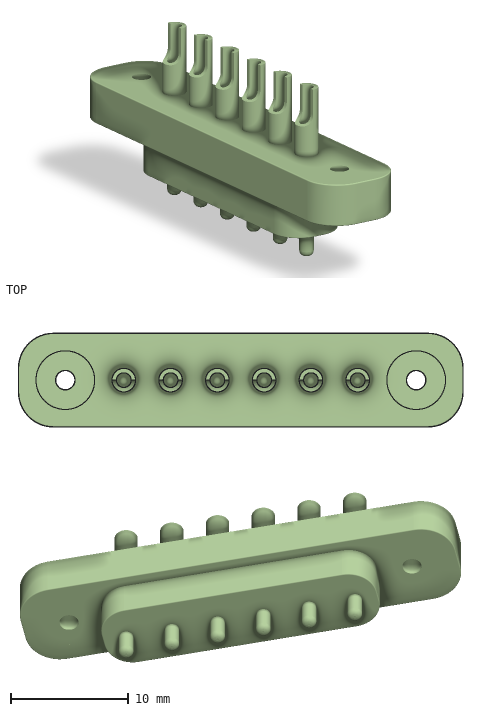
import cadquery as cq

FLANGE_LENGTH = 38.0
FLANGE_WIDTH = 8.0
FLANGE_THICKNESS = 3.72
FLANGE_CORNER_RADIUS = 3.0
BOSS_LENGTH = 24.0
BOSS_WIDTH = 6.0
BOSS_HEIGHT = 3.15
BOSS_CORNER_RADIUS = 2.47
EDGE_FILLET = 0.1

BUSHING_DIAMETER = 5.0
BUSHING_BORE = 1.65

PIN_COUNT = 6
PIN_ROW_LENGTH = 20.0
CUP_DIAMETER = 2.0
CUP_HEIGHT = 6.0
CUP_BORE = 1.25
CUP_BORE_DEPTH = 5.0
CUP_OPENING_STRAIGHT = 2.28
TIP_DIAMETER = 1.25
TIP_LENGTH = 2.3
TIP_FILLET = 0.5

bushing_spacing = FLANGE_LENGTH - FLANGE_WIDTH
cup_radius = CUP_DIAMETER / 2
cup_top = FLANGE_THICKNESS + CUP_HEIGHT
tip_bottom = -BOSS_HEIGHT - TIP_LENGTH
bushing_places = [(-bushing_spacing / 2, 0), (bushing_spacing / 2, 0)]
pin_pitch = PIN_ROW_LENGTH / (PIN_COUNT - 1)
pin_places = [(i * pin_pitch - PIN_ROW_LENGTH / 2, 0) for i in range(PIN_COUNT)]


def rounded_block(length, width, height, corner_radius, base_z):
    """Block standing on base_z with rounded vertical corners."""
    return (
        cq.Workplane("XY", origin=(0, 0, base_z))
        .rect(length, width)
        .extrude(height)
        .edges("|Z")
        .fillet(corner_radius)
    )


def make_housing():
    """Flange and boss, with a seat for every bushing and a stepped hole for every pin."""
    flange = rounded_block(FLANGE_LENGTH, FLANGE_WIDTH, FLANGE_THICKNESS, FLANGE_CORNER_RADIUS, 0)
    flange = flange.faces("<Z or >Z").edges().fillet(EDGE_FILLET)
    boss = rounded_block(BOSS_LENGTH, BOSS_WIDTH, BOSS_HEIGHT, BOSS_CORNER_RADIUS, -BOSS_HEIGHT)
    boss = boss.faces("<Z").edges().fillet(EDGE_FILLET)

    bushing_seats = (
        cq.Workplane("XY").pushPoints(bushing_places).circle(BUSHING_DIAMETER / 2).extrude(FLANGE_THICKNESS)
    )
    cup_holes = cq.Workplane("XY").pushPoints(pin_places).circle(cup_radius).extrude(FLANGE_THICKNESS)
    tip_holes = cq.Workplane("XY").pushPoints(pin_places).circle(TIP_DIAMETER / 2).extrude(-BOSS_HEIGHT)
    return flange.union(boss).cut(bushing_seats).cut(cup_holes).cut(tip_holes)


def make_bushing(place):
    """Plain ring through the flange, flush with both of its faces."""
    return (
        cq.Workplane("XY")
        .center(*place)
        .circle(BUSHING_DIAMETER / 2)
        .circle(BUSHING_BORE / 2)
        .extrude(FLANGE_THICKNESS)
    )


def make_cup_opening():
    """Cutter that removes the -Y half of the cup and ends below in a quarter round."""
    straight_end = cup_top - CUP_OPENING_STRAIGHT
    return (
        cq.Workplane("YZ")
        .moveTo(0, cup_top)
        .lineTo(0, straight_end)
        .radiusArc((-cup_radius, straight_end - cup_radius), cup_radius)
        .lineTo(-cup_radius, cup_top)
        .close()
        .extrude(cup_radius, both=True)
    )


def make_pin(place):
    """Contact pin: rounded tip below, solder cup with an open side above."""
    tip = (
        cq.Workplane("XY", origin=(0, 0, tip_bottom))
        .circle(TIP_DIAMETER / 2)
        .extrude(-tip_bottom)
        .faces("<Z")
        .edges()
        .fillet(TIP_FILLET)
    )
    cup = cq.Workplane("XY").circle(cup_radius).extrude(cup_top)
    bore = cq.Workplane("XY", origin=(0, 0, cup_top)).circle(CUP_BORE / 2).extrude(-CUP_BORE_DEPTH)
    pin = tip.union(cup).cut(bore).cut(make_cup_opening())
    return pin.translate((*place, 0))


housing = make_housing()
bushings = [make_bushing(place) for place in bushing_places]
pins = [make_pin(place) for place in pin_places]

result = cq.Compound.makeCompound([housing.val(), *[body.val() for body in bushings + pins]])